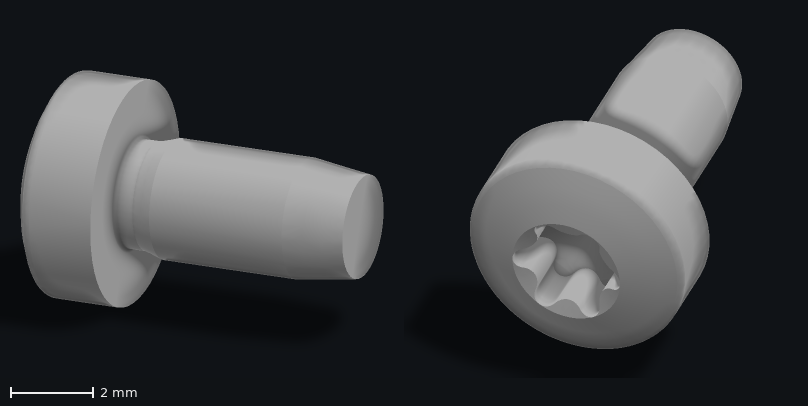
import cadquery as cq
import math

total_length = 8.4

head_radius = 5.6 / 2
head_length = 2.39
dome_radius = 5.12
rim_fillet = 0.25

neck_radius = 2.7 / 2
neck_fillet = 0.1
neck_end = 2.89
shank_radius = 3.0 / 2
shank_start = 3.39
tip_start = 6.89
tip_radius = 1.285

lobe_count = 6
socket_radius = 1.4
socket_inner_radius = 1.01
lobe_radius = 0.29
socket_depth = 1.26
mouth_cone_slope = math.tan(math.radians(25))
floor_cone_slope = math.tan(math.radians(30))


def make_head():
    """Domed disc with a rounded rim."""
    dome_center = math.sqrt(dome_radius**2 - socket_radius**2)

    def dome_point(radius):
        return (dome_center - math.sqrt(dome_radius**2 - radius**2), radius)

    head = (
        cq.Workplane("XY")
        .lineTo(0, socket_radius)
        .threePointArc(dome_point((socket_radius + head_radius) / 2), dome_point(head_radius))
        .lineTo(head_length, head_radius)
        .lineTo(head_length, 0)
        .close()
        .revolve(360, (0, 0, 0), (1, 0, 0))
    )
    rim_x = dome_point(head_radius)[0]
    rim_box = cq.selectors.BoxSelector(
        (rim_x - 0.08, -head_radius, -head_radius),
        (rim_x + 0.08, head_radius, head_radius),
        boundingbox=False,
    )
    return head.edges(rim_box).fillet(rim_fillet)


def make_shank():
    """Undercut neck, cylindrical body and conical tip."""
    fillet_end = head_length + neck_fillet
    fillet_offset = neck_fillet * (1 - math.sqrt(0.5))
    return (
        cq.Workplane("XY")
        .moveTo(head_length, 0)
        .lineTo(head_length, neck_radius + neck_fillet)
        .threePointArc(
            (head_length + fillet_offset, neck_radius + fillet_offset),
            (fillet_end, neck_radius),
        )
        .lineTo(neck_end, neck_radius)
        .lineTo(shank_start, shank_radius)
        .lineTo(tip_start, shank_radius)
        .lineTo(total_length, tip_radius)
        .lineTo(total_length, 0)
        .close()
        .revolve(360, (0, 0, 0), (1, 0, 0))
    )


def make_cone(base_x, base_radius, slope):
    """Cone pointing along +X from a base circle."""
    return (
        cq.Workplane("XY")
        .moveTo(base_x, 0)
        .lineTo(base_x, base_radius)
        .lineTo(base_x + base_radius * slope, 0)
        .close()
        .revolve(360, (0, 0, 0), (1, 0, 0))
    )


def make_lobe_prism(length):
    """Star prism whose convex lobes run tangentially into concave flutes."""
    half_pitch = math.pi / lobe_count
    lobe_center = socket_radius - lobe_radius
    cosine = math.cos(half_pitch)
    flute_radius = (
        lobe_center**2 + socket_inner_radius**2 - lobe_radius**2
        - 2 * lobe_center * socket_inner_radius * cosine
    ) / (2 * (lobe_radius - socket_inner_radius + lobe_center * cosine))
    flute_center = socket_inner_radius + flute_radius
    center_y = flute_center * math.cos(half_pitch)
    center_z = flute_center * math.sin(half_pitch)
    blend = lobe_radius / (lobe_radius + flute_radius)
    tangent_y = lobe_center + (center_y - lobe_center) * blend
    tangent_z = center_z * blend
    tangent_radius = math.hypot(tangent_y, tangent_z)
    tangent_angle = math.atan2(tangent_z, tangent_y)

    def polar(radius, angle):
        return (radius * math.cos(angle), radius * math.sin(angle))

    outline = cq.Workplane("YZ").moveTo(*polar(tangent_radius, -tangent_angle))
    for index in range(lobe_count):
        angle = 2 * half_pitch * index
        next_angle = angle + 2 * half_pitch
        outline = outline.threePointArc(
            polar(socket_radius, angle), polar(tangent_radius, angle + tangent_angle)
        ).threePointArc(
            polar(socket_inner_radius, angle + half_pitch),
            polar(tangent_radius, next_angle - tangent_angle),
        )
    return outline.close().extrude(length)


def make_socket():
    """Lobed recess with a countersunk mouth and a conical floor."""
    mouth = make_cone(0, socket_radius, mouth_cone_slope)
    floor_limit = (
        cq.Workplane("YZ")
        .circle(socket_radius)
        .extrude(socket_depth)
        .union(make_cone(socket_depth, socket_radius, floor_cone_slope))
    )
    prism_length = socket_depth + socket_radius * floor_cone_slope
    return make_lobe_prism(prism_length).intersect(floor_limit).union(mouth)


result = make_head().union(make_shank()).cut(make_socket())